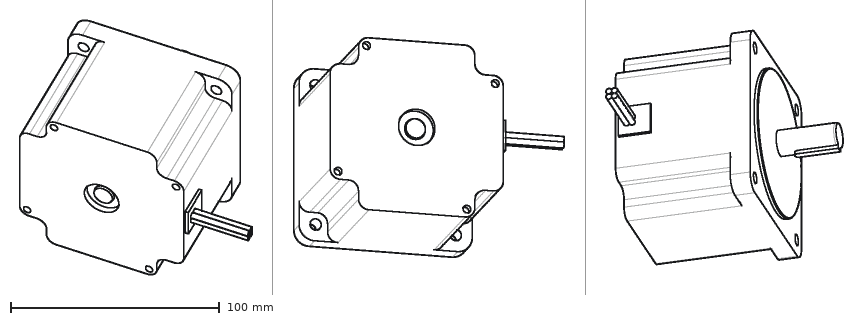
import cadquery as cq


body_width = 86.0
body_length = 67.5
flange_thickness = 10.0
flange_corner_radius = 7.5
notch_size = 14.1
notch_radius = 5.0
mount_hole_offset = 34.8
mount_hole_diameter = 5.5

pilot_diameter = 73.1
pilot_height = 2.0
pilot_chamfer = 0.5
shaft_diameter = 12.7
shaft_reach = 31.8
shaft_chamfer_length = 1.2
shaft_chamfer_depth = 0.4
key_width = 4.0
key_length = 22.3
key_outer_height = 7.9

recess_diameter = 18.1
recess_depth = 3.2
stub_end_diameter = 9.6
stub_taper_angle = 15
stub_setback = 1.9
screw_hole_diameter = 3.8
screw_hole_depth = 3.5
screw_near_offset = 24.9
screw_far_offset = 39.0

outlet_thickness = 1.6
outlet_width = 15.0
outlet_start = 1.9
outlet_end = 18.0
wire_diameter = 2.9
wire_pitch = 2.8
wire_length = 29.8
wire_bundle_y = 7.5

half_width = body_width / 2
shaft_tip = body_length + shaft_reach


def cylinder_y(diameter, start, end):
    """Cylinder on the motor axis between two Y positions."""
    return cq.Workplane("XZ", origin=(0, start, 0)).circle(diameter / 2).extrude(start - end)


def box_between(low, high):
    """Axis-aligned box given by its lowest and highest corners."""
    size = [b - a for a, b in zip(low, high)]
    return cq.Workplane("XY").box(*size, centered=False).translate(low)


def make_body():
    """Square body whose corners are notched away behind the flange."""
    flange_rear = body_length - flange_thickness
    inner = half_width - notch_size
    outline = [
        (inner, half_width),
        (inner, inner),
        (half_width, inner),
        (half_width, -inner),
        (inner, -inner),
        (inner, -half_width),
        (-inner, -half_width),
        (-inner, -inner),
        (-half_width, -inner),
        (-half_width, inner),
        (-inner, inner),
        (-inner, half_width),
    ]
    housing = cq.Workplane("XZ").polyline(outline).close().extrude(-flange_rear)
    housing = housing.edges("|Y").fillet(notch_radius)
    flange = (
        cq.Workplane("XZ", origin=(0, flange_rear, 0))
        .rect(body_width, body_width)
        .extrude(-flange_thickness)
        .edges("|Y")
        .fillet(flange_corner_radius)
    )
    mount_holes = (
        cq.Workplane("XZ", origin=(0, flange_rear, 0))
        .rect(2 * mount_hole_offset, 2 * mount_hole_offset, forConstruction=True)
        .vertices()
        .circle(mount_hole_diameter / 2)
        .extrude(-flange_thickness)
    )
    return housing.union(flange.cut(mount_holes))


def make_pilot():
    pilot = cylinder_y(pilot_diameter, body_length, body_length + pilot_height)
    return pilot.faces(">Y").chamfer(pilot_chamfer)


def make_shaft():
    """Drive shaft with a chamfered tip and a round-ended key on its -Z side."""
    shaft = cylinder_y(shaft_diameter, body_length, shaft_tip)
    shaft = shaft.faces(">Y").chamfer(shaft_chamfer_length, shaft_chamfer_depth)
    key_radius = key_width / 2
    round_center_y = shaft_tip - key_length + key_radius
    key_bar = box_between((-key_radius, round_center_y, -key_outer_height), (key_radius, shaft_tip, 0))
    key_end = (
        cq.Workplane("XY", origin=(0, round_center_y, -key_outer_height))
        .circle(key_radius)
        .extrude(key_outer_height)
    )
    return shaft.union(key_bar).union(key_end)


def cut_rear_details(solid):
    """Central recess around a tapered shaft stub, and four blind screw holes."""
    recess = cylinder_y(recess_diameter, 0, recess_depth)
    stub = (
        cq.Workplane("XZ", origin=(0, stub_setback, 0))
        .circle(stub_end_diameter / 2)
        .extrude(stub_setback - recess_depth, taper=-stub_taper_angle)
    )
    near, far = screw_near_offset, screw_far_offset
    screw_holes = (
        cq.Workplane("XZ")
        .pushPoints([(-near, far), (far, near), (near, -far), (-far, -near)])
        .circle(screw_hole_diameter / 2)
        .extrude(-screw_hole_depth)
    )
    return solid.cut(recess.cut(stub)).cut(screw_holes)


def make_cable():
    """Outlet plate with a two-by-two bundle of wires."""
    outlet_face = half_width + outlet_thickness
    low = (half_width, outlet_start, -outlet_width / 2)
    high = (outlet_face, outlet_end, outlet_width / 2)
    cable = box_between(low, high)
    half_pitch = wire_pitch / 2
    for y in (wire_bundle_y - half_pitch, wire_bundle_y + half_pitch):
        for z in (-half_pitch, half_pitch):
            wire_start = cq.Workplane("YZ", origin=(outlet_face, y, z))
            cable = cable.union(wire_start.circle(wire_diameter / 2).extrude(wire_length))
    return cable


result = make_body().union(make_pilot()).union(make_shaft())
result = cut_rear_details(result).union(make_cable())